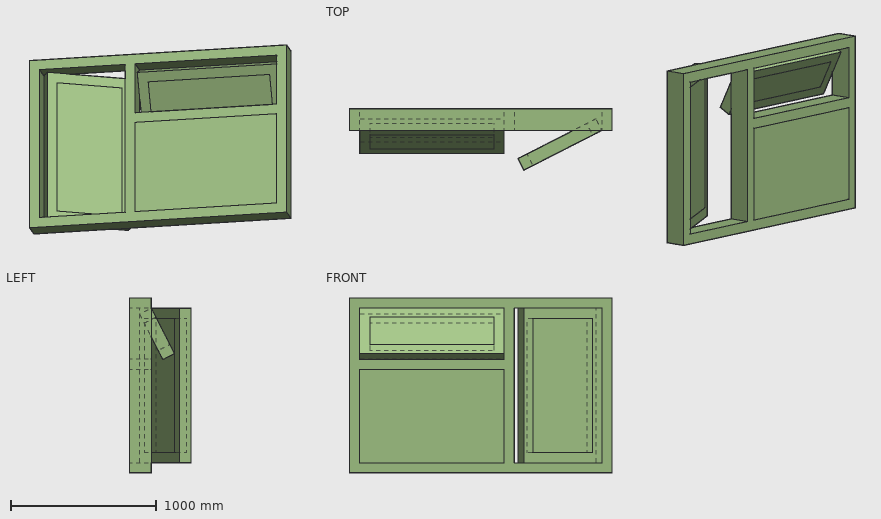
import cadquery as cq


frame_width = 1800
frame_height = 1200
frame_depth = 150
bar_width = 70

casement_width = 600
vent_height = 350
casement_height = frame_height - 2 * bar_width
left_width = frame_width - casement_width - 3 * bar_width
fixed_height = frame_height - vent_height - 3 * bar_width

left_x = bar_width
casement_x = left_x + left_width + bar_width
fixed_z = bar_width
vent_z = fixed_z + fixed_height + bar_width

sash_depth = 90
open_angle = 27


def block(x, z, width, height, depth):
    """Block with its lower left front edge at (x, 0, z), reaching back along +Y."""
    return cq.Workplane("XY").box(width, depth, height, centered=False).translate((x, 0, z))


def make_frame():
    """Outer frame with its mullion and transom, left after cutting the three openings."""
    frame = block(0, 0, frame_width, frame_height, frame_depth)
    openings = (
        (left_x, fixed_z, left_width, fixed_height),
        (left_x, vent_z, left_width, vent_height),
        (casement_x, fixed_z, casement_width, casement_height),
    )
    for x, z, width, height in openings:
        frame = frame.cut(block(x, z, width, height, frame_depth))
    return frame


def make_fixed_pane():
    """Pane that fills the lower left opening, flush with the frame."""
    return block(left_x, fixed_z, left_width, fixed_height, frame_depth)


def make_sash_pane(x, z, width, height):
    """Pane of a closed sash, one bar width in from the sash's outer edges."""
    return block(
        x + bar_width,
        z + bar_width,
        width - 2 * bar_width,
        height - 2 * bar_width,
        sash_depth,
    )


def make_sash(x, z, width, height):
    """Closed sash: four bars around the hole for its pane."""
    return block(x, z, width, height, sash_depth).cut(make_sash_pane(x, z, width, height))


def swing_vent(body):
    """Swing a body of the vent outward about the top front edge of its opening."""
    hinge_z = vent_z + vent_height
    return body.rotate((0, 0, hinge_z), (1, 0, hinge_z), -open_angle)


def swing_casement(body):
    """Swing a body of the casement outward about the right front edge of its opening."""
    hinge_x = casement_x + casement_width
    return body.rotate((hinge_x, 0, 0), (hinge_x, 0, 1), open_angle)


frame = make_frame()
fixed_pane = make_fixed_pane()

vent_outline = (left_x, vent_z, left_width, vent_height)
vent_sash = swing_vent(make_sash(*vent_outline))
vent_pane = swing_vent(make_sash_pane(*vent_outline))

casement_outline = (casement_x, fixed_z, casement_width, casement_height)
casement_sash = swing_casement(make_sash(*casement_outline))
casement_pane = swing_casement(make_sash_pane(*casement_outline))

result = cq.Compound.makeCompound([
    frame.val(),
    fixed_pane.val(),
    vent_sash.val(),
    vent_pane.val(),
    casement_sash.val(),
    casement_pane.val(),
])